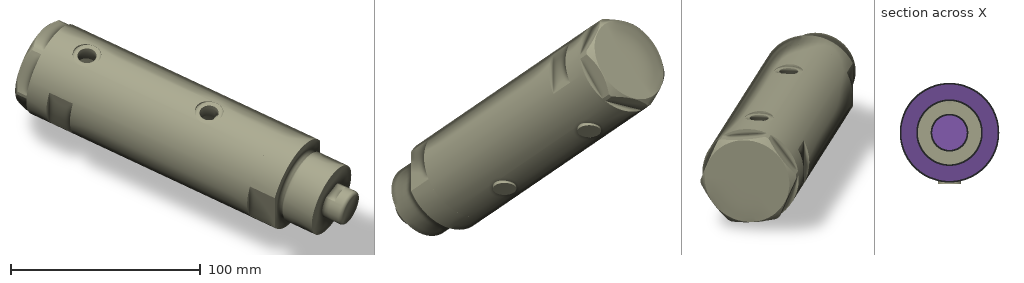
import cadquery as cq
import math


total_length = 193.0
total_height = 53.0
barrel_diameter = 52.0
barrel_radius = barrel_diameter / 2
flat_spacing = 46.0
rod_radius = 9.7
bore_radius = 17.0
gland_seat_radius = 21.2

hexagon_end = 8.9
barrel_start = 10.6
barrel_end = 145.0
gland_shoulder = 160.2
gland_end = 181.2

cap_face_radius = 22.8
cap_chamfer = barrel_radius - cap_face_radius
hexagon_tilt = -7.5
cap_spigot_end = 34.4

slot_start = 21.2
slot_end = 35.7
port_positions = (30.5, 105.8)
port_radius = 5.0
spotface_radius = 7.5
spotface_level = 24.7
boss_positions = (35.0, 108.9)
boss_radius = 6.2
boss_bottom = total_height - barrel_radius

gland_spigot_start = 108.5
nose_radius = 20.0
relief_radius = 19.0
relief_depth = nose_radius - relief_radius
nose_start = 163.5

rod_flat_spacing = 15.8
rod_flat_end = 186.7
rod_end_round = 1.7


def rod_along_x(start, end, radius):
    """Solid cylinder on the X axis between two stations."""
    return cq.Workplane("YZ", origin=(start, 0, 0)).circle(radius).extrude(end - start)


def post_along_z(x, bottom, top, radius):
    """Solid upright cylinder at one station."""
    return cq.Workplane("XY", origin=(x, 0, bottom)).circle(radius).extrude(top - bottom)


def slab_along_x(start, end, y_size, z_size):
    """Box centred on the X axis between two stations."""
    return cq.Workplane("YZ", origin=(start, 0, 0)).rect(y_size, z_size).extrude(end - start)


def side_flats(start, end):
    """Cutter that leaves wrench flats on the -Y and +Y sides."""
    around = slab_along_x(start, end, 4 * barrel_radius, 4 * barrel_radius)
    return around.cut(slab_along_x(start, end, flat_spacing, 4 * barrel_radius))


def make_cap():
    blank = rod_along_x(0, hexagon_end, barrel_radius).faces("<X").chamfer(cap_chamfer)
    hexagon = (
        cq.Workplane("YZ")
        .polygon(6, flat_spacing / math.cos(math.radians(30)))
        .extrude(hexagon_end)
        .rotate((0, 0, 0), (1, 0, 0), hexagon_tilt)
    )
    flange = rod_along_x(hexagon_end, barrel_start, barrel_radius)
    spigot = rod_along_x(barrel_start, cap_spigot_end, bore_radius)
    return blank.intersect(hexagon).union(flange).union(spigot)


def make_barrel():
    barrel = rod_along_x(barrel_start, barrel_end, barrel_radius)
    for x in boss_positions:
        barrel = barrel.union(post_along_z(x, -boss_bottom, 0, boss_radius))
    barrel = barrel.cut(rod_along_x(barrel_start, gland_spigot_start, bore_radius))
    barrel = barrel.cut(rod_along_x(gland_spigot_start, barrel_end, gland_seat_radius))
    for x in port_positions:
        barrel = barrel.cut(post_along_z(x, 0, barrel_radius, port_radius))
        barrel = barrel.cut(post_along_z(x, spotface_level, barrel_radius, spotface_radius))
    return barrel.cut(side_flats(slot_start, slot_end))


def make_gland():
    head = rod_along_x(barrel_end, gland_shoulder, barrel_radius)
    head = head.cut(side_flats(barrel_end, gland_shoulder))
    spigot = rod_along_x(gland_spigot_start, barrel_end, gland_seat_radius)
    arc_offset = relief_depth * (1 - math.sqrt(0.5))
    nose = (
        cq.Workplane("XY")
        .moveTo(gland_shoulder, 0)
        .lineTo(gland_shoulder, nose_radius)
        .threePointArc(
            (gland_shoulder + arc_offset, relief_radius + arc_offset),
            (gland_shoulder + relief_depth, relief_radius),
        )
        .lineTo(nose_start - relief_depth, relief_radius)
        .lineTo(nose_start, nose_radius)
        .lineTo(gland_end, nose_radius)
        .lineTo(gland_end, 0)
        .close()
        .revolve(360, (0, 0, 0), (1, 0, 0))
    )
    rod_hole = rod_along_x(gland_spigot_start, gland_end, rod_radius)
    return head.union(spigot).union(nose).cut(rod_hole)


def make_rod():
    rod = rod_along_x(cap_spigot_end, total_length, rod_radius).faces(">X").edges().fillet(rod_end_round)
    neck = rod_along_x(gland_end, rod_flat_end, 2 * rod_radius)
    neck = neck.cut(slab_along_x(gland_end, rod_flat_end, 4 * rod_radius, rod_flat_spacing))
    return rod.cut(neck)


cap = make_cap()
barrel = make_barrel()
gland = make_gland()
rod = make_rod()

result = cq.Compound.makeCompound([cap.val(), barrel.val(), gland.val(), rod.val()])